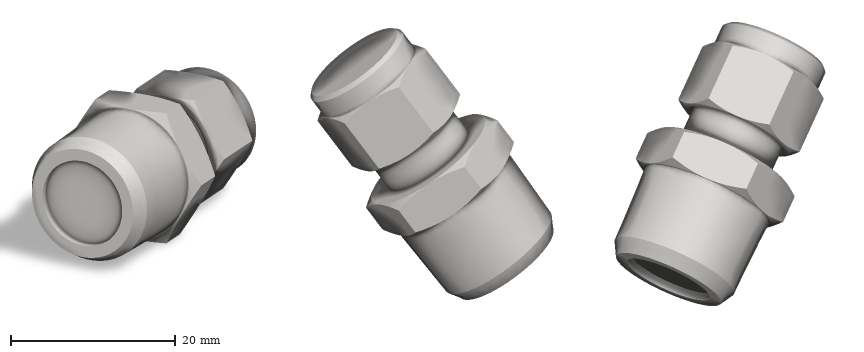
import cadquery as cq
import math


thread_length = 11.5
thread_lead_length = 1.75
body_hex_length = 5.0
neck_length = 4.0
nut_hex_length = 8.5
collar_length = 3.0
collar_chamfer = 0.5
bore_depth = 1.0

body_hex_flats = 17.0
nut_hex_flats = 14.0
hex_sides = 6
hex_chamfer_angle = 30.0

thread_root_diameter = 16.55
thread_taper = 1 / 16
thread_tip_diameter = 14.0
neck_diameter = 11.9
nut_countersink_diameter = 12.6
collar_diameter = 13.8
bore_diameter = 11.0

thread_tip_y = -thread_length
neck_start_y = body_hex_length
nut_start_y = neck_start_y + neck_length
collar_start_y = nut_start_y + nut_hex_length


def revolve_about_y(points):
    """Turn a closed (radius, y) outline about the Y axis."""
    return cq.Workplane("XY").polyline(points).close().revolve(360, (0, 0, 0), (0, 1, 0))


def cylinder_along_y(diameter, start_y, length):
    """Cylinder on the Y axis running from start_y towards +Y."""
    plane = cq.Workplane("XZ", origin=(0, start_y, 0))
    return plane.circle(diameter / 2).extrude(-length)


def chamfered_hexagon(across_flats, start_y, length):
    """Hexagon with corners on +X and -X, its corners turned off conically at both ends."""
    flat_radius = across_flats / 2
    corner_radius = flat_radius / math.cos(math.pi / hex_sides)
    corner_drop = (corner_radius - flat_radius) * math.tan(math.radians(hex_chamfer_angle))
    end_y = start_y + length
    plane = cq.Workplane("XZ", origin=(0, start_y, 0))
    prism = plane.polygon(hex_sides, 2 * corner_radius).extrude(-length)
    turned_envelope = revolve_about_y([
        (0, start_y),
        (flat_radius, start_y),
        (corner_radius, start_y + corner_drop),
        (corner_radius, end_y - corner_drop),
        (flat_radius, end_y),
        (0, end_y),
    ])
    return prism.intersect(turned_envelope)


def tapered_thread():
    """Plain tapered thread envelope with a conical lead-in at its tip."""
    lead_y = thread_tip_y + thread_lead_length
    root_radius = thread_root_diameter / 2
    lead_radius = root_radius + lead_y * thread_taper / 2
    return revolve_about_y([
        (0, thread_tip_y),
        (thread_tip_diameter / 2, thread_tip_y),
        (lead_radius, lead_y),
        (root_radius, 0),
        (0, 0),
    ])


def nut_collar():
    """Round collar at the tube end with its outer rim chamfered."""
    collar = cylinder_along_y(collar_diameter, collar_start_y, collar_length)
    return collar.faces(">Y").chamfer(collar_chamfer)


def nut_countersink():
    """45 degree conical relief in the nut face where the neck enters."""
    neck_radius = neck_diameter / 2
    rim_radius = nut_countersink_diameter / 2
    depth = rim_radius - neck_radius
    return revolve_about_y([
        (neck_radius, nut_start_y),
        (rim_radius, nut_start_y),
        (neck_radius, nut_start_y + depth),
    ])


body_hex = chamfered_hexagon(body_hex_flats, 0, body_hex_length)
neck = cylinder_along_y(neck_diameter, neck_start_y, neck_length)
nut_hex = chamfered_hexagon(nut_hex_flats, nut_start_y, nut_hex_length)
thread_bore = cylinder_along_y(bore_diameter, thread_tip_y, bore_depth)

result = (
    tapered_thread()
    .union(body_hex)
    .union(neck)
    .union(nut_hex)
    .union(nut_collar())
    .cut(nut_countersink())
    .cut(thread_bore)
)